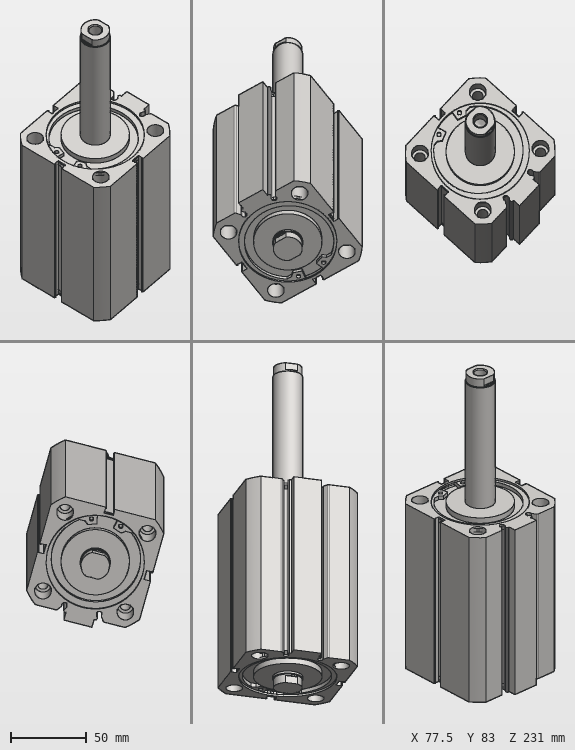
import cadquery as cq
import math


BODY_SIDE = 77.5
BODY_LENGTH = 125.0
HALF_SIDE = BODY_SIDE / 2
CORNER_RADIUS = 49.5
BORE_DIAMETER = 65.0

MOUNT_SPACING = 56.5
MOUNT_HOLE_DIAMETER = 7.0
COUNTERBORE_DIAMETER = 11.0
COUNTERBORE_DEPTH = 15.0

SLOT_WIDTH = 6.3
SLOT_MOUTH_WIDTH = 5.9
SLOT_THROAT_WIDTH = 4.9
SLOT_LIP = 0.8
SLOT_DEPTH = 4.26

RAIL_WIDTH = 19.3
RAIL_HEIGHT = 5.5
GROOVE_CENTER_X = 11.9
GROOVE_RADIUS = 1.7
GROOVE_CENTER_Y = 34.0
GROOVE_WALL_TOP_Y = 35.3
GROOVE_MOUTH_X = 16.0
GROOVE_MOUTH_ROUND = 1.5
RAIL_LIP_X = 11.6
RAIL_LIP_Y = 37.5
RAIL_LIP_TOP_X = 10.9

RING_DIAMETER = 69.0
RING_THICKNESS = 2.7
RING_RECESS = 1.4
RING_INNER_RADIUS = 29.6
RING_INNER_SHIFT = -1.7
RING_GAP_ANGLE = 12.5
LUG_INNER_RADIUS = 26.2
LUG_SIDE_X = 11.6
LUG_FOOT_X = 14.0
LUG_FOOT_Y = -25.5
LUG_HOLE_X = 10.0
LUG_HOLE_Y = -27.9
LUG_HOLE_DIAMETER = 2.8

COLLAR_RECESS = RING_RECESS + RING_THICKNESS
COLLAR_LENGTH = 20.0
BOSS_DIAMETER = 45.3

ROD_DIAMETER = 20.0
ROD_TOP_REACH = 98.0
ROD_BOTTOM_REACH = 8.0
NECK_DIAMETER = 19.0
NECK_LENGTH = 6.0
SHOULDER_CHAMFER = 0.5
FLAT_LENGTH = 5.0
FLAT_SPACING = 17.0
TAP_DIAMETER = 8.5
TAP_MOUTH_DIAMETER = 9.9
TAP_DEPTH = 15.0
DRILL_POINT_ANGLE = 118.0


def mirrored_to_both_ends(solid):
    """The body at the top end of the housing and its mirror image at the bottom end."""
    twin = solid.mirror("XY", (0, 0, BODY_LENGTH / 2))
    return [solid, twin]


def slot_cutter():
    """Sensor slot in the -Y face, narrowed at its mouth by two tapered lips."""
    lip_y = SLOT_LIP - HALF_SIDE
    floor_y = SLOT_DEPTH - HALF_SIDE
    return (
        cq.Workplane("XY")
        .moveTo(-SLOT_MOUTH_WIDTH / 2, -HALF_SIDE)
        .lineTo(-SLOT_THROAT_WIDTH / 2, lip_y)
        .lineTo(-SLOT_WIDTH / 2, lip_y)
        .lineTo(-SLOT_WIDTH / 2, floor_y)
        .lineTo(SLOT_WIDTH / 2, floor_y)
        .lineTo(SLOT_WIDTH / 2, lip_y)
        .lineTo(SLOT_THROAT_WIDTH / 2, lip_y)
        .lineTo(SLOT_MOUTH_WIDTH / 2, -HALF_SIDE)
        .close()
        .extrude(BODY_LENGTH)
    )


def rail_groove_cutter():
    """Keyhole groove along the +X flank of the rail."""
    inner_x = GROOVE_CENTER_X - GROOVE_RADIUS
    outer_x = GROOVE_CENTER_X + GROOVE_RADIUS
    return (
        cq.Workplane("XY")
        .moveTo(RAIL_LIP_TOP_X, HALF_SIDE)
        .lineTo(RAIL_LIP_X, RAIL_LIP_Y)
        .lineTo(inner_x, GROOVE_WALL_TOP_Y)
        .lineTo(inner_x, GROOVE_CENTER_Y)
        .threePointArc((GROOVE_CENTER_X, GROOVE_CENTER_Y - GROOVE_RADIUS), (outer_x, GROOVE_CENTER_Y))
        .lineTo(outer_x, GROOVE_WALL_TOP_Y)
        .lineTo(GROOVE_MOUTH_X, HALF_SIDE)
        .close()
        .extrude(BODY_LENGTH)
    )


def ring_groove_cutter():
    return (
        cq.Workplane("XY", origin=(0, 0, BODY_LENGTH - COLLAR_RECESS))
        .circle(RING_DIAMETER / 2)
        .extrude(RING_THICKNESS)
    )


def make_housing():
    block = cq.Workplane("XY").rect(BODY_SIDE, BODY_SIDE).extrude(BODY_LENGTH)
    block = block.intersect(cq.Workplane("XY").circle(CORNER_RADIUS).extrude(BODY_LENGTH))

    groove = rail_groove_cutter()
    block = block.cut(groove).cut(groove.mirror("YZ"))
    for side in (-1, 1):
        mouth = cq.selectors.NearestToPointSelector((side * GROOVE_MOUTH_X, HALF_SIDE, BODY_LENGTH / 2))
        block = block.edges("|Z").edges(mouth).fillet(GROOVE_MOUTH_ROUND)

    rail = (
        cq.Workplane("XY")
        .center(0, HALF_SIDE + RAIL_HEIGHT / 2)
        .rect(RAIL_WIDTH, RAIL_HEIGHT)
        .extrude(BODY_LENGTH)
    )
    block = block.union(rail)

    for angle in (-90, 0, 90):
        block = block.cut(slot_cutter().rotate((0, 0, 0), (0, 0, 1), angle))

    corners = cq.Workplane("XY").rect(MOUNT_SPACING, MOUNT_SPACING, forConstruction=True).vertices()
    block = block.cut(corners.circle(MOUNT_HOLE_DIAMETER / 2).extrude(BODY_LENGTH))
    counterbores = corners.circle(COUNTERBORE_DIAMETER / 2).extrude(COUNTERBORE_DEPTH)
    block = block.cut(counterbores).cut(counterbores.translate((0, 0, BODY_LENGTH - COUNTERBORE_DEPTH)))

    block = block.cut(cq.Workplane("XY").circle(BORE_DIAMETER / 2).extrude(BODY_LENGTH))
    for groove in mirrored_to_both_ends(ring_groove_cutter()):
        block = block.cut(groove)
    return block


def ring_lug(plane):
    """Lug with a plier hole on the +X side of the ring gap."""
    gap = math.radians(RING_GAP_ANGLE)
    rim_radius = BORE_DIAMETER / 2
    inner = (LUG_INNER_RADIUS * math.sin(gap), -LUG_INNER_RADIUS * math.cos(gap))
    outer = (rim_radius * math.sin(gap), -rim_radius * math.cos(gap))
    side = (LUG_SIDE_X, -math.sqrt(LUG_INNER_RADIUS**2 - LUG_SIDE_X**2))
    foot_end = (math.sqrt(rim_radius**2 - LUG_FOOT_Y**2), LUG_FOOT_Y)
    rim_middle = (rim_radius * math.sin(2 * gap), -rim_radius * math.cos(2 * gap))
    lug = (
        plane.moveTo(*inner)
        .lineTo(*outer)
        .threePointArc(rim_middle, foot_end)
        .lineTo(LUG_FOOT_X, LUG_FOOT_Y)
        .lineTo(*side)
        .lineTo(*inner)
        .close()
        .extrude(RING_THICKNESS)
    )
    hole = plane.center(LUG_HOLE_X, LUG_HOLE_Y).circle(LUG_HOLE_DIAMETER / 2).extrude(RING_THICKNESS)
    return lug.cut(hole)


def make_retaining_ring():
    """Ring of the top end, its gap facing -Y."""
    plane = cq.Workplane("XY", origin=(0, 0, BODY_LENGTH - COLLAR_RECESS))
    opening = plane.center(0, RING_INNER_SHIFT).circle(RING_INNER_RADIUS).extrude(RING_THICKNESS)
    gap_x = RING_DIAMETER * math.tan(math.radians(RING_GAP_ANGLE))
    gap = (
        plane.moveTo(0, 0)
        .lineTo(gap_x, -RING_DIAMETER)
        .lineTo(-gap_x, -RING_DIAMETER)
        .close()
        .extrude(RING_THICKNESS)
    )
    ring = plane.circle(RING_DIAMETER / 2).extrude(RING_THICKNESS).cut(opening).cut(gap)
    lug = ring_lug(plane)
    return ring.union(lug).union(lug.mirror("YZ"))


def make_collar():
    """Rod collar of the top end: a disc that fills the bore, with a boss flush with the housing."""
    base_z = BODY_LENGTH - COLLAR_RECESS - COLLAR_LENGTH
    disc = cq.Workplane("XY", origin=(0, 0, base_z)).circle(BORE_DIAMETER / 2).extrude(COLLAR_LENGTH)
    boss_length = BODY_LENGTH - base_z
    boss = cq.Workplane("XY", origin=(0, 0, base_z)).circle(BOSS_DIAMETER / 2).extrude(boss_length)
    rod_hole = cq.Workplane("XY", origin=(0, 0, base_z)).circle(ROD_DIAMETER / 2).extrude(boss_length)
    return disc.union(boss).cut(rod_hole)


def make_rod():
    bottom_z = -ROD_BOTTOM_REACH
    top_z = BODY_LENGTH + ROD_TOP_REACH
    length = top_z - bottom_z
    shank = (
        cq.Workplane("XY", origin=(0, 0, bottom_z + NECK_LENGTH))
        .circle(ROD_DIAMETER / 2)
        .extrude(length - 2 * NECK_LENGTH)
        .faces("<Z or >Z")
        .chamfer(SHOULDER_CHAMFER)
    )
    neck = cq.Workplane("XY", origin=(0, 0, bottom_z)).circle(NECK_DIAMETER / 2).extrude(length)
    rod = shank.union(neck)

    flat_cut = ROD_DIAMETER / 2
    for z in (bottom_z + FLAT_LENGTH / 2, top_z - FLAT_LENGTH / 2):
        for side in (-1, 1):
            y = side * (FLAT_SPACING + flat_cut) / 2
            rod = rod.cut(cq.Workplane("XY").box(ROD_DIAMETER, flat_cut, FLAT_LENGTH).translate((0, y, z)))

    tap_radius = TAP_DIAMETER / 2
    mouth_radius = TAP_MOUTH_DIAMETER / 2
    mouth_depth = mouth_radius - tap_radius
    point_depth = tap_radius / math.tan(math.radians(DRILL_POINT_ANGLE / 2))
    tap = (
        cq.Workplane("XZ")
        .moveTo(0, top_z)
        .lineTo(mouth_radius, top_z)
        .lineTo(tap_radius, top_z - mouth_depth)
        .lineTo(tap_radius, top_z - TAP_DEPTH)
        .lineTo(0, top_z - TAP_DEPTH - point_depth)
        .close()
        .revolve(360, (0, 0, 0), (0, 1, 0))
    )
    return rod.cut(tap)


housing = make_housing()
rod = make_rod()
retaining_rings = mirrored_to_both_ends(make_retaining_ring())
collars = mirrored_to_both_ends(make_collar())

result = cq.Compound.makeCompound(
    [
        housing.val(),
        rod.val(),
        *[ring.val() for ring in retaining_rings],
        *[collar.val() for collar in collars],
    ]
)